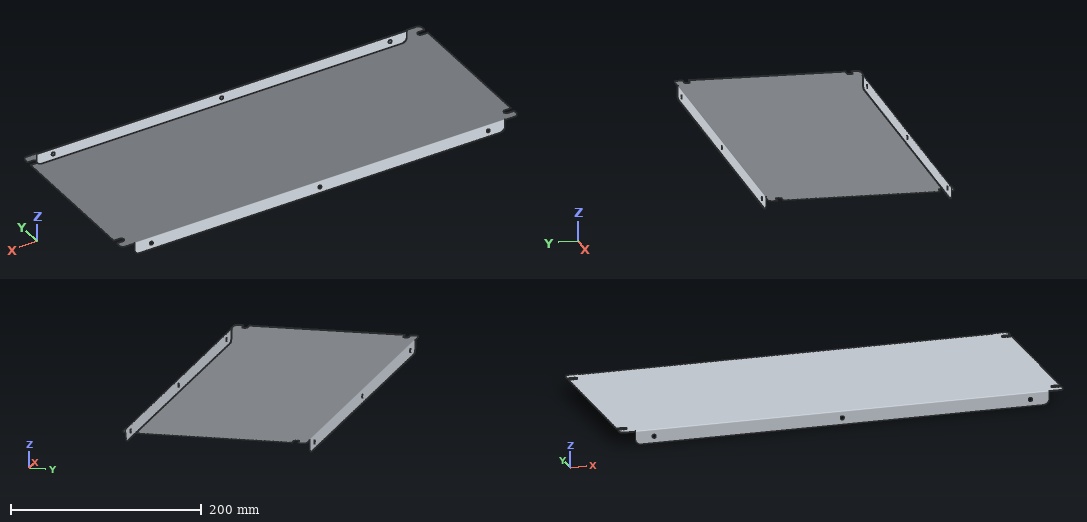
import cadquery as cq

length = 486.5
width = 199.5
height = 15.0
sheet = 1.0

bend_inner_radius = 0.5
bend_outer_radius = bend_inner_radius + sheet
plate_corner_radius = 5.0
flange_corner_radius = 6.0

flange_inset = 16.5
flange_length = length - 2 * flange_inset

slot_width = 6.5
slot_depth = 10.5
slot_edge_distance = 12.5

hole_diameter = 4.2
hole_spacing = 206.5
hole_drop = 8.0


def make_plate():
    """Flat sheet with rounded corners, its top face at Z = 0."""
    blank = cq.Workplane("XY").box(length, width, sheet, centered=(True, True, False))
    return blank.translate((0, 0, -sheet)).edges("|Z").fillet(plate_corner_radius)


def make_channel():
    """U-shaped stretch of sheet with both flanges bent down."""
    outer = cq.Workplane("XY").box(flange_length, width, height)
    outer = outer.translate((0, 0, -height / 2))
    outer = outer.edges("|X and >Z").fillet(bend_outer_radius)
    outer = outer.edges("|Y and <Z").fillet(flange_corner_radius)

    inner = cq.Workplane("XY").box(flange_length, width - 2 * sheet, height)
    inner = inner.translate((0, 0, -sheet - height / 2))
    inner = inner.edges("|X and >Z").fillet(bend_inner_radius)
    return outer.cut(inner)


def make_slot(x_side, y_side):
    """Cutter for one round-ended slot, running out through a plate end."""
    return (
        cq.Workplane("XY")
        .center(x_side * length / 2, y_side * (width / 2 - slot_edge_distance))
        .slot2D(2 * slot_depth, slot_width)
        .extrude(-sheet)
    )


def make_flange_holes():
    """Cutters for the hole row, passing through both flanges."""
    return (
        cq.Workplane("XZ", origin=(0, width / 2, 0))
        .pushPoints([(i * hole_spacing, -hole_drop) for i in (-1, 0, 1)])
        .circle(hole_diameter / 2)
        .extrude(width)
    )


plate_ends = make_plate().cut(
    cq.Workplane("XY").box(flange_length, width, height)
)
result = plate_ends.union(make_channel())
for x_side in (-1, 1):
    for y_side in (-1, 1):
        result = result.cut(make_slot(x_side, y_side))
result = result.cut(make_flange_holes())